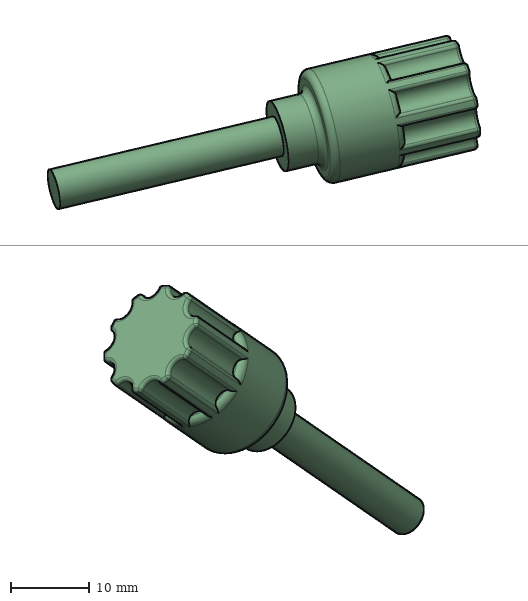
import cadquery as cq
import math

total_length = 55.0
knob_diameter = 15.0
collar_diameter = 9.25
shaft_diameter = 5.2
knob_length = 20.0
collar_length = 4.95
knob_nose_radius = 1.0
collar_root_radius = 1.0
knob_rim_radius = 0.5

flute_count = 10
flute_diameter = 3.2
flute_center_distance = 7.8
flute_length = 11.0
flute_edge_radius = 0.45
flute_end_radius = 1.0

knob_end = total_length / 2
knob_nose = knob_end - knob_length
collar_end = knob_nose - collar_length
shaft_end = -total_length / 2
flute_end = knob_end - flute_length

knob_radius = knob_diameter / 2
flute_radius = flute_diameter / 2

cos_45 = math.cos(math.pi / 4)


def cylinder(diameter, y_start, y_end):
    """Cylinder on the Y axis between two stations."""
    return (
        cq.Workplane("XZ", origin=(0, y_end, 0))
        .circle(diameter / 2)
        .extrude(y_end - y_start)
    )


def flute_bar():
    """Straight cutter for the +Z flute, flared by the rounding of its two long edges."""
    arc_distance = knob_radius - flute_edge_radius
    center_gap = flute_radius + flute_edge_radius
    arc_z = (arc_distance**2 + flute_center_distance**2 - center_gap**2) / (2 * flute_center_distance)
    arc_x = math.sqrt(arc_distance**2 - arc_z**2)

    to_flute = math.atan2(flute_center_distance - arc_z, -arc_x)
    to_knob = math.atan2(arc_z, arc_x)
    to_middle = (to_flute + to_knob) / 2

    def arc_point(angle):
        return (
            arc_x + flute_edge_radius * math.cos(angle),
            arc_z + flute_edge_radius * math.sin(angle),
        )

    def mirrored(point):
        return (-point[0], point[1])

    inner, middle, outer = (arc_point(angle) for angle in (to_flute, to_middle, to_knob))
    floor = (0, flute_center_distance - flute_radius)
    clear_z = knob_radius + flute_radius
    return (
        cq.Workplane("XZ", origin=(0, knob_end, 0))
        .moveTo(*outer)
        .threePointArc(middle, inner)
        .threePointArc(floor, mirrored(inner))
        .threePointArc(mirrored(middle), mirrored(outer))
        .lineTo(-outer[0], clear_z)
        .lineTo(outer[0], clear_z)
        .close()
        .extrude(flute_length)
    )


def flute_end_stop():
    """Ring of material left at the closed flute ends, rounded over toward the knob surface."""
    wall = flute_end + flute_end_radius
    arc_center_x = knob_radius - flute_end_radius
    arc_middle = flute_end_radius * cos_45
    return (
        cq.Workplane("XY")
        .moveTo(0, knob_nose)
        .lineTo(knob_radius, knob_nose)
        .lineTo(knob_radius, flute_end)
        .threePointArc(
            (arc_center_x + arc_middle, flute_end + arc_middle),
            (arc_center_x, wall),
        )
        .lineTo(0, wall)
        .close()
        .revolve(360, (0, 0, 0), (0, 1, 0))
    )


def fluted_knob():
    """Knob with evenly spaced flutes, the first one facing +Z."""
    knob = cylinder(knob_diameter, knob_nose, knob_end)
    knob = knob.faces("<Y").edges().fillet(knob_nose_radius)
    cutter = flute_bar().cut(flute_end_stop())
    for index in range(flute_count):
        knob = knob.cut(cutter.rotate((0, 0, 0), (0, 1, 0), index * 360 / flute_count))
    return knob.faces(">Y").edges().fillet(knob_rim_radius)


def flared_collar():
    """Collar with a concave flare where it meets the knob nose."""
    collar_radius = collar_diameter / 2
    flare_radius = collar_radius + collar_root_radius
    flare_end = knob_nose - collar_root_radius
    arc_middle = collar_root_radius * cos_45
    return (
        cq.Workplane("XY")
        .moveTo(0, collar_end)
        .lineTo(collar_radius, collar_end)
        .lineTo(collar_radius, flare_end)
        .threePointArc(
            (flare_radius - arc_middle, flare_end + arc_middle),
            (flare_radius, knob_nose),
        )
        .lineTo(0, knob_nose)
        .close()
        .revolve(360, (0, 0, 0), (0, 1, 0))
    )


shaft = cylinder(shaft_diameter, shaft_end, collar_end)
result = fluted_knob().union(flared_collar()).union(shaft)